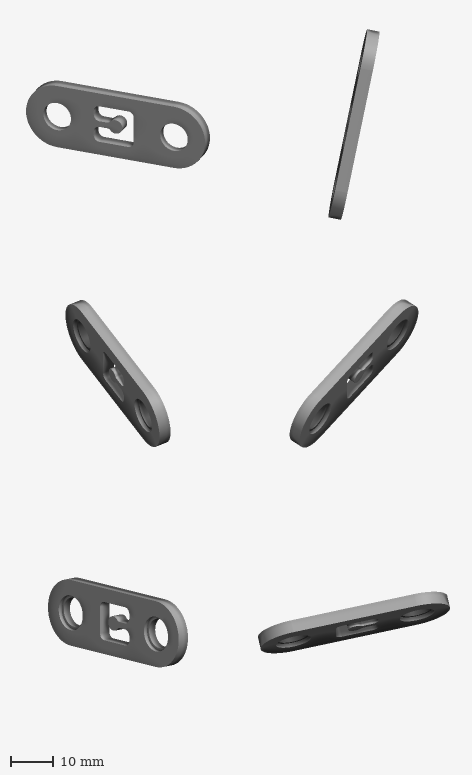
import cadquery as cq
import math

length = 46.0
height = 16.0
thickness = 3.0
hole_spacing = length - height
hole_diameter = 7.1
counterbore_diameter = 8.45
counterbore_depth = 1.0

window_left = -5.6
window_right = 4.65
window_half_height = 4.65
left_corner_radius = 1.45
right_corner_radius = 1.4
tongue_half_width = 0.75
head_radius = 1.75
flare_radius = 1.0


def through_cutter(sketch):
    """Extrude a closed XZ profile through the full plate thickness."""
    return sketch.extrude(thickness / 2, both=True)


def make_plate():
    return through_cutter(cq.Workplane("XZ").slot2D(length, height))


def make_holes():
    """Two through holes at the end-arc centres, each counterbored from the +Y face."""
    centres = [(-hole_spacing / 2, 0), (hole_spacing / 2, 0)]
    bores = through_cutter(cq.Workplane("XZ").pushPoints(centres).circle(hole_diameter / 2))
    counterbores = (
        cq.Workplane("XZ", origin=(0, thickness / 2, 0))
        .pushPoints(centres)
        .circle(counterbore_diameter / 2)
        .extrude(counterbore_depth)
    )
    return bores.union(counterbores)


def make_tongue():
    """Straight tongue blending through concave arcs into a round head centred on the plate."""
    flare_z = tongue_half_width + flare_radius
    flare_x = -math.sqrt((head_radius + flare_radius) ** 2 - flare_z ** 2)
    head_share = head_radius / (head_radius + flare_radius)
    touch_x = flare_x * head_share
    touch_z = flare_z * head_share
    return through_cutter(
        cq.Workplane("XZ")
        .moveTo(window_left, -tongue_half_width)
        .lineTo(flare_x, -tongue_half_width)
        .tangentArcPoint((touch_x, -touch_z), relative=False)
        .threePointArc((head_radius, 0), (touch_x, touch_z))
        .tangentArcPoint((flare_x, tongue_half_width), relative=False)
        .lineTo(window_left, tongue_half_width)
        .close()
    )


def make_window():
    """Rounded C-shaped opening left around the tongue."""
    block = through_cutter(
        cq.Workplane("XZ")
        .moveTo((window_left + window_right) / 2, 0)
        .rect(window_right - window_left, 2 * window_half_height)
    )
    opening = block.cut(make_tongue())
    opening = opening.edges("|Y and >X").fillet(right_corner_radius)
    return opening.edges("|Y and <X").fillet(left_corner_radius)


result = make_plate().cut(make_holes()).cut(make_window())